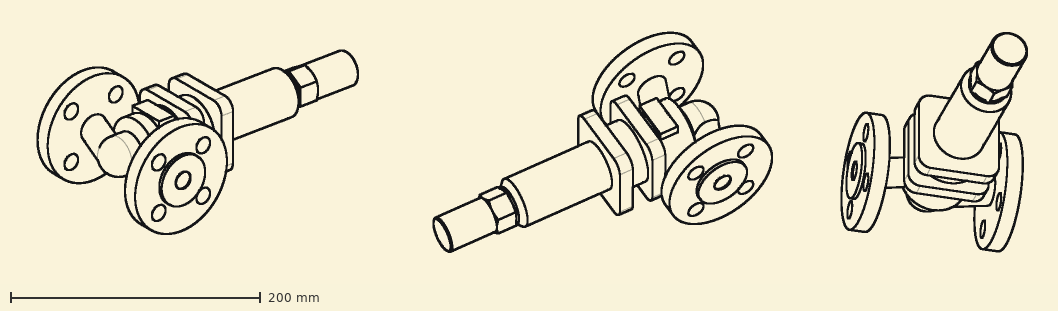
import cadquery as cq
import math


face_to_face = 130.0
flange_diameter = 95.0
flange_thickness = 13.0
raised_face_diameter = 45.0
raised_face_height = 3.0
bolt_circle_diameter = 65.0
bolt_hole_diameter = 14.0
bolt_hole_count = 4
bore_diameter = 15.0
bore_depth = 1.0

pipe_diameter = 24.0
pipe_angle = 21.0

neck_radius = 17.0
ball_center_y = -14.0
cone_bottom_y = -2.0
body_bottom_y = 2.6
body_radius = 27.5
lower_plate_y = 35.0
plate_thickness = 12.0
plate_width = 67.0
plate_corner_radius = 10.0
upper_plate_y = 65.0
spacer_radius = 27.0
groove_width = 1.5
groove_radius = 25.0

bonnet_radius = 21.0
bonnet_shoulder_y = 155.0
bonnet_chamfer = 5.0
nut_bottom_y = 162.0
nut_across_flats = 30.0
nut_top_y = 180.0
nut_chamfer_angle = 30.0
cap_radius = 15.0
cap_top_y = 222.17
cap_chamfer = 1.0

name_plate_length = 34.0
name_plate_width = 16.0
name_plate_y = 22.0
name_plate_top_z = 29.0

flange_inner_x = face_to_face / 2 - raised_face_height - flange_thickness


def make_revolved_body():
    """Ball end, neck, cone, spacer, bonnet and cap turned about the Y axis."""
    diagonal = neck_radius * math.cos(math.radians(45))
    groove_bottom_y = upper_plate_y - groove_width
    bonnet_top_y = bonnet_shoulder_y + bonnet_chamfer
    collar_radius = bonnet_radius - bonnet_chamfer
    return (
        cq.Workplane("XY")
        .moveTo(0, ball_center_y - neck_radius)
        .threePointArc((diagonal, ball_center_y - diagonal), (neck_radius, ball_center_y))
        .lineTo(neck_radius, cone_bottom_y)
        .lineTo(body_radius, body_bottom_y)
        .lineTo(body_radius, lower_plate_y)
        .lineTo(spacer_radius, lower_plate_y)
        .lineTo(spacer_radius, groove_bottom_y)
        .lineTo(groove_radius, groove_bottom_y)
        .lineTo(groove_radius, upper_plate_y)
        .lineTo(bonnet_radius, upper_plate_y)
        .lineTo(bonnet_radius, bonnet_shoulder_y)
        .lineTo(collar_radius, bonnet_top_y)
        .lineTo(cap_radius, nut_bottom_y)
        .lineTo(cap_radius, cap_top_y - cap_chamfer)
        .lineTo(cap_radius - cap_chamfer, cap_top_y)
        .lineTo(0, cap_top_y)
        .close()
        .revolve(360, (0, 0, 0), (0, 1, 0))
    )


def make_square_plate(bottom_y):
    """Square plate with rounded corners, resting at bottom_y."""
    return (
        cq.Workplane("XZ", origin=(0, bottom_y, 0))
        .rect(plate_width, plate_width)
        .extrude(-plate_thickness)
        .edges("|Y")
        .fillet(plate_corner_radius)
    )


def make_nut():
    """Hexagon nut with corners along Z and a conical chamfer at its top."""
    corner_radius = nut_across_flats / math.sqrt(3)
    chamfer_height = (corner_radius - nut_across_flats / 2) * math.tan(math.radians(nut_chamfer_angle))
    hexagon = (
        cq.Workplane("XZ", origin=(0, nut_bottom_y, 0))
        .transformed(rotate=(0, 0, 90))
        .polygon(6, 2 * corner_radius)
        .extrude(nut_bottom_y - nut_top_y)
    )
    envelope = (
        cq.Workplane("XY")
        .moveTo(0, nut_bottom_y)
        .lineTo(corner_radius, nut_bottom_y)
        .lineTo(corner_radius, nut_top_y - chamfer_height)
        .lineTo(nut_across_flats / 2, nut_top_y)
        .lineTo(0, nut_top_y)
        .close()
        .revolve(360, (0, 0, 0), (0, 1, 0))
    )
    return hexagon.intersect(envelope)


def make_pipe(side):
    """Inclined pipe from the flange on the given side (-1 or 1) to the spindle axis."""
    angle = math.radians(pipe_angle)
    overlap = pipe_diameter / 2 * math.tan(angle)
    start_x = flange_inner_x + overlap * math.cos(angle)
    start_y = -side * overlap * math.sin(angle)
    start = cq.Vector(side * start_x, start_y, 0)
    direction = cq.Vector(-side * math.cos(angle), side * math.sin(angle), 0)
    length = start_x / math.cos(angle)
    return cq.Workplane(cq.Solid.makeCylinder(pipe_diameter / 2, length, start, direction))


def make_flange(side):
    """Flange with raised face, bolt holes and bore recess on the given side."""
    outer_x = face_to_face / 2
    first_hole_angle = 180 / bolt_hole_count
    return (
        cq.Workplane("YZ", origin=(flange_inner_x, 0, 0))
        .circle(flange_diameter / 2)
        .extrude(flange_thickness)
        .faces(">X")
        .workplane()
        .polarArray(bolt_circle_diameter / 2, first_hole_angle, 360, bolt_hole_count)
        .hole(bolt_hole_diameter)
        .union(
            cq.Workplane("YZ", origin=(outer_x, 0, 0))
            .circle(raised_face_diameter / 2)
            .extrude(-raised_face_height)
        )
        .cut(cq.Workplane("YZ", origin=(outer_x, 0, 0)).circle(bore_diameter / 2).extrude(-bore_depth))
        .rotate((0, 0, 0), (0, 0, 1), 90 - 90 * side)
    )


def make_name_plate():
    """Rectangular pad standing on the +Z side of the body."""
    return (
        cq.Workplane("XY")
        .center(0, name_plate_y)
        .rect(name_plate_length, name_plate_width)
        .extrude(name_plate_top_z)
    )


result = make_revolved_body().union(make_nut()).union(make_name_plate())
for plate_y in (lower_plate_y, upper_plate_y):
    result = result.union(make_square_plate(plate_y))
for flange_side in (-1, 1):
    result = result.union(make_pipe(flange_side)).union(make_flange(flange_side))